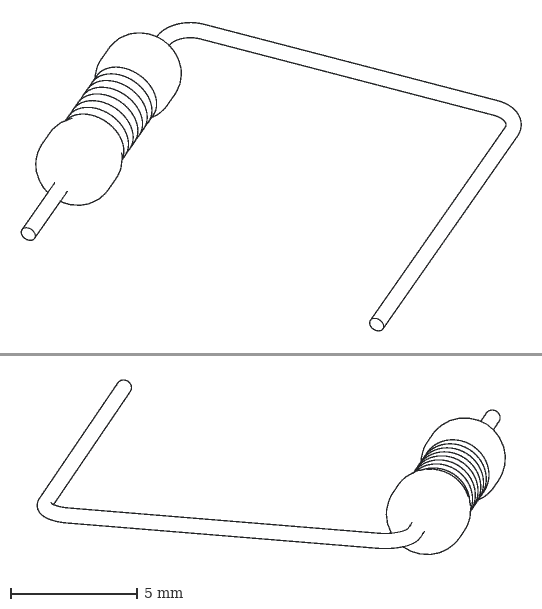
import cadquery as cq
import math

total_width = 16.9
total_depth = 15.1

cap_diameter = 3.2
waist_diameter = 2.72
band_diameter = 2.74
body_center_y = 8.11
body_half_length = 4.53
dome_radius = 1.13
cap_inner_y = 2.55
band_count = 4
band_width = 0.47

wire_diameter = 0.6
bend_radius = 1.18
collar_radius = 0.3

cap_radius = cap_diameter / 2
waist_radius = waist_diameter / 2
wire_radius = wire_diameter / 2
waist_half_length = band_width * (2 * band_count - 1) / 2
far_leg_x = total_width - cap_radius - wire_radius
crossbar_y = total_depth - wire_radius


def make_cap():
    """+Y end of the body: S-shaped shoulder, cylinder, dome and concave collar."""
    root_y = waist_half_length - band_width / 2
    shoulder_mid = ((cap_radius + waist_radius) / 2, (cap_inner_y + waist_half_length) / 2)
    dome_start_y = body_half_length - dome_radius
    foot_radius = wire_radius + collar_radius
    foot_offset = foot_radius - (cap_radius - dome_radius)
    foot_y = dome_start_y + math.sqrt(dome_radius**2 - foot_offset**2)
    collar_tip_y = foot_y + collar_radius
    arc_inset = collar_radius * (1 - math.sqrt(0.5))
    collar_mid = (wire_radius + arc_inset, foot_y + arc_inset)
    return (
        cq.Workplane("XY")
        .moveTo(0, root_y)
        .lineTo(waist_radius, root_y)
        .lineTo(waist_radius, waist_half_length)
        .tangentArcPoint(shoulder_mid, relative=False)
        .tangentArcPoint((cap_radius, cap_inner_y), relative=False)
        .lineTo(cap_radius, dome_start_y)
        .tangentArcPoint((foot_radius, foot_y), relative=False)
        .threePointArc(collar_mid, (wire_radius, collar_tip_y))
        .lineTo(0, collar_tip_y)
        .close()
        .revolve(360, (0, 0, 0), (0, 1, 0))
    )


def make_disc(diameter, length, center_y):
    """Cylinder on the body axis, centred at the given Y."""
    return (
        cq.Workplane("XZ", origin=(0, center_y + length / 2, 0))
        .circle(diameter / 2)
        .extrude(length)
    )


def make_body():
    """Slim banded waist between two mirrored caps."""
    body = make_disc(waist_diameter, 2 * waist_half_length, 0)
    for index in range(band_count):
        band_y = 2 * band_width * (index - (band_count - 1) / 2)
        body = body.union(make_disc(band_diameter, band_width, band_y))
    cap = make_cap()
    return body.union(cap).union(cap.mirror("XZ"))


def make_wire():
    """Round wire along the body axis, across the top and back down the far leg."""
    path = (
        cq.Workplane("XY")
        .moveTo(0, 0)
        .lineTo(0, crossbar_y - bend_radius)
        .tangentArcPoint((bend_radius, crossbar_y), relative=False)
        .lineTo(far_leg_x - bend_radius, crossbar_y)
        .tangentArcPoint((far_leg_x, crossbar_y - bend_radius), relative=False)
        .lineTo(far_leg_x, 0)
    )
    return cq.Workplane("XZ").circle(wire_radius).sweep(path)


result = make_body().translate((0, body_center_y, 0)).union(make_wire())